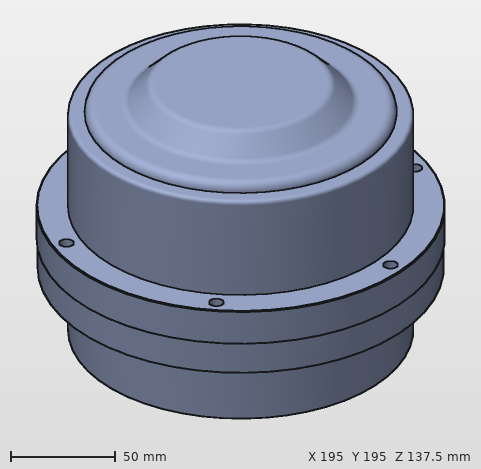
import cadquery as cq

body_radius = 82.5
body_top_z = 121.0
body_edge_fillet = 2.0

upper_flange_radius = 97.5
lower_flange_radius = 97.0
lower_flange_bottom_z = 34.0
flange_seam_z = 51.0
upper_flange_top_z = 69.0
flange_edge_chamfer = 0.5

bolt_count = 6
bolt_circle_radius = 90.0
bolt_hole_diameter = 7.0
first_bolt_angle = 90.0

ring_radius = 74.5
ring_height = 5.0

total_height = 137.5
cap_base_radius = 55.0
cap_fillet = 5.0
ring_top_z = body_top_z + ring_height
cap_height = total_height - ring_top_z
cap_top_radius = cap_base_radius - cap_height


def disc(radius, bottom_z, top_z):
    """Solid cylinder on the Z axis between two heights."""
    return cq.Workplane("XY").workplane(offset=bottom_z).circle(radius).extrude(top_z - bottom_z)


def make_body():
    """Main cylinder with a rounded upper rim."""
    return disc(body_radius, 0, body_top_z).faces(">Z").edges().fillet(body_edge_fillet)


def make_upper_flange():
    """Wider flange, chamfered on its top rim only."""
    flange = disc(upper_flange_radius, flange_seam_z, upper_flange_top_z)
    return flange.faces(">Z").edges().chamfer(flange_edge_chamfer)


def make_lower_flange():
    """Slightly narrower flange, chamfered on both rims."""
    flange = disc(lower_flange_radius, lower_flange_bottom_z, flange_seam_z)
    return flange.faces("|Z").edges().chamfer(flange_edge_chamfer)


def make_ring_and_cap():
    """Ring with a quarter-round rim, carrying a conical cap rounded at its top and foot."""
    ring_profile = (
        cq.Workplane("XZ", origin=(0, 0, body_top_z))
        .lineTo(ring_radius, 0)
        .radiusArc((ring_radius - ring_height, ring_height), -ring_height)
        .lineTo(0, ring_height)
        .close()
    )
    ring = ring_profile.revolve(360, (0, 0), (0, 1))
    cap_profile = [
        (0, ring_top_z),
        (cap_base_radius, ring_top_z),
        (cap_top_radius, total_height),
        (0, total_height),
    ]
    cap = cq.Workplane("XZ").polyline(cap_profile).close().revolve(360, (0, 0), (0, 1))
    part = ring.union(cap).faces(">Z").edges().fillet(cap_fillet)
    cap_foot = part.faces("%CONE").edges("<Z")
    return cap_foot.fillet(cap_fillet)


def make_bolt_holes():
    """Ring of holes through both flanges."""
    return (
        cq.Workplane("XY")
        .workplane(offset=lower_flange_bottom_z)
        .polarArray(bolt_circle_radius, first_bolt_angle, 360, bolt_count)
        .circle(bolt_hole_diameter / 2)
        .extrude(upper_flange_top_z - lower_flange_bottom_z)
    )


result = (
    make_body()
    .union(make_lower_flange())
    .union(make_upper_flange())
    .cut(make_bolt_holes())
    .union(make_ring_and_cap())
)